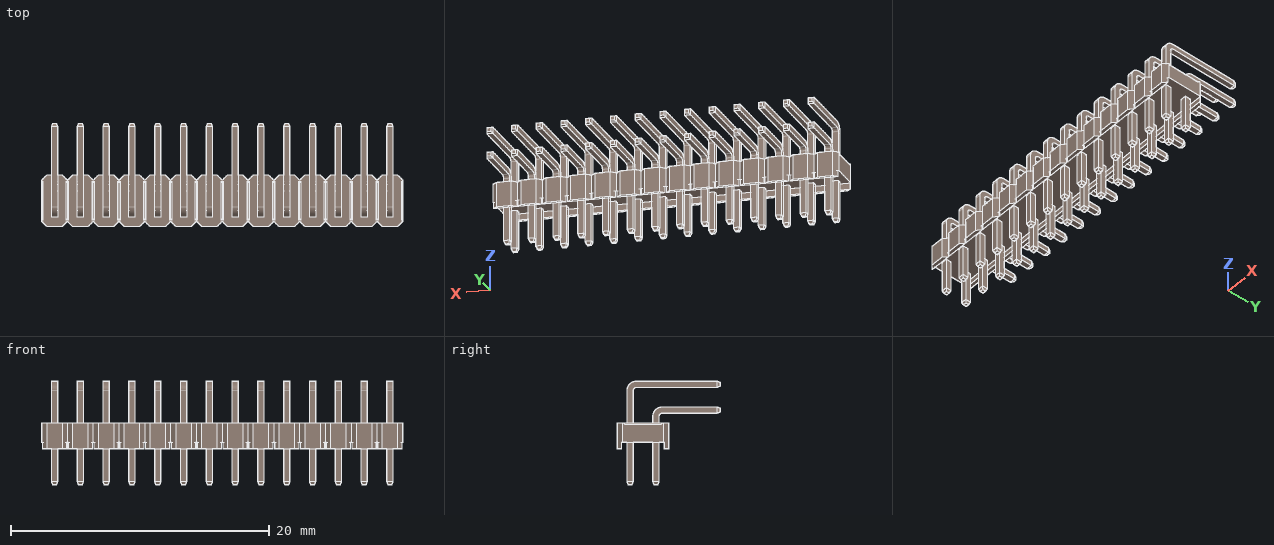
import cadquery as cq

column_count = 14
pitch = 2.0

housing_length = column_count * pitch
housing_depth = 4.0
housing_height = 2.0
corner_cut = 0.4
channel_height = 0.5
foot_depth = 0.35
rim_bevel_width = 0.1
rim_bevel_height = 0.1
rim_bevel_top_length = 3.0
rim_bevel_bottom_length = 2.8

pin_width = 0.5
bend_inner_radius = 0.25
bend_outer_radius = bend_inner_radius + pin_width
tip_length = 0.25
tip_inset = 0.1
pin_bottom_z = -2.8
pin_end_y = 8.0
front_row_y = pitch / 2
back_row_y = front_row_y + pitch
front_row_arm_z = 5.0
back_row_arm_z = front_row_arm_z - pitch


def make_rim_bevel(side_x, inward):
    """Wedge with sloping ends that bevels the middle stretch of one upper side edge of a cell."""
    bevel_bottom_z = housing_height - rim_bevel_height
    wedge = (
        cq.Workplane("XZ", origin=(0, housing_depth / 2, 0))
        .moveTo(side_x, housing_height)
        .lineTo(side_x + inward * rim_bevel_width, housing_height)
        .lineTo(side_x, bevel_bottom_z)
        .close()
        .extrude(rim_bevel_top_length / 2, both=True)
    )
    sloping_ends = (
        cq.Workplane("YZ", origin=(side_x, housing_depth / 2, 0))
        .moveTo(-rim_bevel_top_length / 2, housing_height)
        .lineTo(rim_bevel_top_length / 2, housing_height)
        .lineTo(rim_bevel_bottom_length / 2, bevel_bottom_z)
        .lineTo(-rim_bevel_bottom_length / 2, bevel_bottom_z)
        .close()
        .extrude(rim_bevel_width, both=True)
    )
    return wedge.intersect(sloping_ends)


def make_cell():
    """Housing cell of one column, filling the positive octant from the origin."""
    cell = (
        cq.Workplane("XY")
        .box(pitch, housing_depth, housing_height, centered=False)
        .edges("|Z")
        .chamfer(corner_cut)
    )
    for side_x, inward in ((0, 1), (pitch, -1)):
        cell = cell.cut(make_rim_bevel(side_x, inward))
    channel = (
        cq.Workplane("XY")
        .box(pitch, housing_depth - 2 * foot_depth, channel_height, centered=False)
        .translate((0, foot_depth, 0))
    )
    return cell.cut(channel)


def make_tip(plane):
    """Tapered pin end growing along the normal of the given plane."""
    return (
        cq.Workplane(plane)
        .rect(pin_width, pin_width)
        .workplane(offset=tip_length)
        .rect(pin_width - 2 * tip_inset, pin_width - 2 * tip_inset)
        .loft()
    )


def make_pin(row_y, arm_z):
    """Bent pin centred on x = 0: a leg at row_y and an arm at height arm_z."""
    half = pin_width / 2
    leg_bottom = pin_bottom_z + tip_length
    arm_end = pin_end_y - tip_length
    shank = (
        cq.Workplane("YZ")
        .moveTo(row_y - half, leg_bottom)
        .lineTo(row_y - half, arm_z + half - bend_outer_radius)
        .radiusArc((row_y - half + bend_outer_radius, arm_z + half), bend_outer_radius)
        .lineTo(arm_end, arm_z + half)
        .lineTo(arm_end, arm_z - half)
        .lineTo(row_y + half + bend_inner_radius, arm_z - half)
        .radiusArc((row_y + half, arm_z - half - bend_inner_radius), -bend_inner_radius)
        .lineTo(row_y + half, leg_bottom)
        .close()
        .extrude(half, both=True)
    )
    leg_tip = make_tip(cq.Plane((0, row_y, leg_bottom), xDir=(1, 0, 0), normal=(0, 0, -1)))
    arm_tip = make_tip(cq.Plane((0, arm_end, arm_z), xDir=(1, 0, 0), normal=(0, 1, 0)))
    return shank.union(leg_tip).union(arm_tip)


def make_column():
    """One housing cell with its front-row and back-row pins."""
    column = make_cell()
    for row_y, arm_z in ((front_row_y, front_row_arm_z), (back_row_y, back_row_arm_z)):
        column = column.union(make_pin(row_y, arm_z).translate((pitch / 2, 0, 0)))
    return column


column = make_column()
header = column
for index in range(1, column_count):
    header = header.union(column.translate((index * pitch, 0, 0)))

result = header.translate((-housing_length / 2, 0, 0))